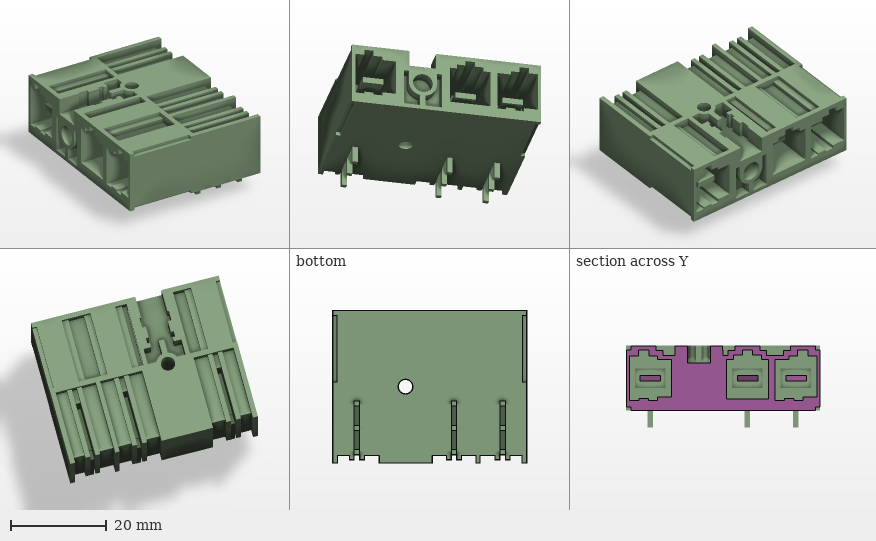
import cadquery as cq


WIDTH = 40.65
DEPTH = 32.0
HEIGHT = 13.57

PITCH = 10.15
FIRST_CENTRE = PITCH / 2
CLIP_X = FIRST_CENTRE + PITCH
CONTACT_CENTRES = [FIRST_CENTRE + PITCH * n for n in (0, 2, 3)]

SHELL_BACK = 14.95
CAVITY_HALF = 4.35
KEY_ROOF = 12.65
LOW_ROOF = 10.65
OUTER_KEY_ROOF = [
    (-CAVITY_HALF, -2.45, 11.4), (-2.45, -0.4, KEY_ROOF), (-0.4, 1.42, 11.4), (1.42, CAVITY_HALF, LOW_ROOF),
]
OUTER_KEY_FLOOR = [
    (-CAVITY_HALF, -2.45, 2.15), (-2.45, -0.4, 2.6), (-0.4, 1.42, 2.15), (1.42, CAVITY_HALF, 2.93),
]
MIDDLE_KEY_ROOF = [
    (-CAVITY_HALF, -2.85, LOW_ROOF), (-2.85, -0.98, 11.6), (-0.98, 0.98, KEY_ROOF),
    (0.98, 2.85, 11.6), (2.85, CAVITY_HALF, LOW_ROOF),
]
MIDDLE_FLOOR = [(-CAVITY_HALF, CAVITY_HALF, 2.48)]

BLADE_RECESS_WIDTH = 6.45
BLADE_RECESS_BOTTOM = 4.75
BLADE_RECESS_TOP = 8.78

FRONT_WALL = 1.05
POCKET_LEDGE_DEPTH = 0.9
POCKET_DEPTH = 1.9
POCKETS = [(6.3, 10.2, 7.72, 10.2), (20.25, 22.7, 20.25, 21.3), (28.1, 34.3, 29.45, 32.88)]
LEDGE_WIDTH = 0.95
LEDGE_DEPTH = 0.77

LIP_WIDTH = 0.12
LIP_FRONT = 2.4

BRIDGE_BACK = 16.05
BAY_BACK = 30.4
BAY_FLOOR = 11.95
BAYS = [(1.05, 9.7), (20.85, 29.95), (30.9, 39.6)]
RIB_BACK = 31.3
RIB_TOP = 12.92
RIB_OUTER_HALF = 1.6
SLOT_WIDTH = 1.15
SLOT_SILL = 11.75

CLIP_FLOOR = 10.05
CLIP_STEPS = [(2.85, 4.8), (3.15, 6.9), (2.4, 9.4), (3.0, 10.6), (2.48, 11.55), (4.1, SHELL_BACK)]
BOSS_Y = 15.97
BOSS_RADIUS = 2.45
BOSS_HOLE_RADIUS = 1.5
WEB_WIDTH = 1.18
TAB_FRONT = 10.6

BORE_Z = 6.2
BORE_RADIUS = 2.1
BORE_DEPTH = 2.65
RING_RADIUS = 3.0
RELIEF_HALF = 4.1
RELIEF_BOTTOM = 0.9
RELIEF_TOP = 8.78
RELIEF_DEPTH = 2.3

BLADE_WIDTH = 4.4
BLADE_BOTTOM = 6.15
BLADE_TOP = 7.4
BLADE_FRONTS = [2.3, 4.3, 4.3]
PLATE_FRONT = 18.98
PLATE_BACK = 30.25
PLATE_STEP_Y = 28.25
PLATE_STEP_DEPTH = 0.4
TAIL_LENGTH = 3.55
TAIL_DEPTH = 1.05
TAIL_COUNT = 3
TAIL_PITCH = (PLATE_BACK - PLATE_FRONT - TAIL_DEPTH) / (TAIL_COUNT - 1)


def block(x0, x1, y0, y1, z0, z1):
    """Rectangular block between two opposite corners."""
    return cq.Workplane("XY").box(x1 - x0, y1 - y0, z1 - z0, centered=False).translate((x0, y0, z0))


def cylinder_y(radius, depth):
    """Cylinder on the bore axis, running back from the front face."""
    return cq.Workplane("XZ", origin=(CLIP_X, 0, BORE_Z)).circle(radius).extrude(-depth)


def mirrored(steps):
    """Steps of a cavity roof or floor, swapped left for right."""
    return [(-right, -left, level) for left, right, level in reversed(steps)]


def cavity(centre, roof, floor):
    """Keyed plug cavity, open at the front, with a recess around the blade in its back wall."""
    outline = []
    for left, right, level in roof:
        outline += [(centre + left, level), (centre + right, level)]
    for left, right, level in reversed(floor):
        outline += [(centre + right, level), (centre + left, level)]
    plug_space = cq.Workplane("XZ").polyline(outline).close().extrude(-SHELL_BACK)
    half = BLADE_RECESS_WIDTH / 2
    recess = block(
        centre - half, centre + half, 0, BRIDGE_BACK, BLADE_RECESS_BOTTOM, BLADE_RECESS_TOP
    )
    return plug_space.union(recess)


def cut_cavities(housing):
    first, middle, last = CONTACT_CENTRES
    housing = housing.cut(cavity(first, OUTER_KEY_ROOF, OUTER_KEY_FLOOR))
    housing = housing.cut(cavity(middle, MIDDLE_KEY_ROOF, MIDDLE_FLOOR))
    return housing.cut(cavity(last, mirrored(OUTER_KEY_ROOF), OUTER_KEY_FLOOR))


def cut_top_pockets(housing):
    """Stepped pockets between the cavities: a shallow ledge and a deeper part."""
    deep_floor = HEIGHT - POCKET_DEPTH
    ledge = HEIGHT - POCKET_LEDGE_DEPTH
    for left, right, deep_left, deep_right in POCKETS:
        housing = housing.cut(block(left, right, FRONT_WALL, SHELL_BACK, ledge, HEIGHT))
        housing = housing.cut(block(deep_left, deep_right, FRONT_WALL, SHELL_BACK, deep_floor, HEIGHT))
    lip_left = POCKETS[1][0]
    lip = block(lip_left, lip_left + LIP_WIDTH, LIP_FRONT, SHELL_BACK, deep_floor, ledge)
    return housing.union(lip)


def cut_side_ledges(housing):
    """Steps along the upper and lower edges of both sides."""
    for left in (0, WIDTH - LEDGE_WIDTH):
        for bottom in (0, HEIGHT - LEDGE_DEPTH):
            housing = housing.cut(
                block(left, left + LEDGE_WIDTH, FRONT_WALL, SHELL_BACK, bottom, bottom + LEDGE_DEPTH)
            )
    return housing


def cut_rear_bays(housing):
    """Open bays at the back, each with two ribs and the slot that takes a contact."""
    half_slot = SLOT_WIDTH / 2
    for centre, (left, right) in zip(CONTACT_CENTRES, BAYS):
        housing = housing.cut(block(left, right, BRIDGE_BACK, DEPTH, BAY_FLOOR, HEIGHT))
        housing = housing.cut(block(left, right, BAY_BACK, DEPTH, 0, HEIGHT))
        ribs = block(
            centre - RIB_OUTER_HALF, centre + RIB_OUTER_HALF, BRIDGE_BACK, RIB_BACK, 0, RIB_TOP
        )
        housing = housing.union(ribs)
        housing = housing.cut(
            block(centre - half_slot, centre + half_slot, BRIDGE_BACK, PLATE_FRONT, SLOT_SILL, HEIGHT)
        )
        housing = housing.cut(block(centre - half_slot, centre + half_slot, PLATE_FRONT, RIB_BACK, 0, HEIGHT))
        half_blade = BLADE_WIDTH / 2
        housing = housing.cut(
            block(centre - half_blade, centre + half_blade, SHELL_BACK, PLATE_FRONT, BLADE_BOTTOM, BLADE_TOP)
        )
    return housing


def cut_screw_clip(housing):
    """Stepped recess in the top face, leaving the pierced boss and its tab."""
    recess_front = 0
    for half, recess_back in CLIP_STEPS:
        housing = housing.cut(
            block(CLIP_X - half, CLIP_X + half, recess_front, recess_back, CLIP_FLOOR, HEIGHT)
        )
        recess_front = recess_back
    boss_base = cq.Workplane("XY", origin=(CLIP_X, BOSS_Y, CLIP_FLOOR))
    housing = housing.union(boss_base.circle(BOSS_RADIUS).extrude(HEIGHT - CLIP_FLOOR))
    half_tab = WEB_WIDTH / 2
    tab = block(CLIP_X - half_tab, CLIP_X + half_tab, TAB_FRONT, BOSS_Y, CLIP_FLOOR, HEIGHT)
    hole = cq.Workplane("XY", origin=(CLIP_X, BOSS_Y, 0)).circle(BOSS_HOLE_RADIUS).extrude(HEIGHT)
    return housing.union(tab).cut(hole)


def cut_screw_bore(housing):
    """Relief in the front face around a ring that stands on a web, and the blind bore in the ring."""
    relief = block(
        CLIP_X - RELIEF_HALF, CLIP_X + RELIEF_HALF, 0, RELIEF_DEPTH, RELIEF_BOTTOM, RELIEF_TOP
    )
    ring = cylinder_y(RING_RADIUS, RELIEF_DEPTH)
    shoulders = block(CLIP_X - RING_RADIUS, CLIP_X + RING_RADIUS, 0, RELIEF_DEPTH, BORE_Z, RELIEF_TOP)
    half_web = WEB_WIDTH / 2
    web = block(CLIP_X - half_web, CLIP_X + half_web, 0, RELIEF_DEPTH, RELIEF_BOTTOM, BORE_Z)
    relief = relief.cut(ring).cut(shoulders).cut(web)
    return housing.cut(relief).cut(cylinder_y(BORE_RADIUS, BORE_DEPTH))


def make_housing():
    housing = block(0, WIDTH, 0, DEPTH, 0, HEIGHT)
    housing = cut_cavities(housing)
    housing = cut_top_pockets(housing)
    housing = cut_side_ledges(housing)
    housing = cut_rear_bays(housing)
    housing = cut_screw_clip(housing)
    return cut_screw_bore(housing)


def make_contact(centre, blade_front):
    """Flat blade, upright plate behind it and solder tails below the plate."""
    half_blade = BLADE_WIDTH / 2
    half_plate = SLOT_WIDTH / 2
    left = centre - half_plate
    right = centre + half_plate
    contact = block(
        centre - half_blade, centre + half_blade, blade_front, PLATE_FRONT, BLADE_BOTTOM, BLADE_TOP
    )
    contact = contact.union(block(left, right, PLATE_FRONT, PLATE_STEP_Y, BLADE_BOTTOM, BLADE_TOP))
    step_top = BLADE_TOP - PLATE_STEP_DEPTH
    contact = contact.union(block(left, right, PLATE_STEP_Y, PLATE_BACK, BLADE_BOTTOM, step_top))
    for n in range(TAIL_COUNT):
        tail_front = PLATE_FRONT + n * TAIL_PITCH
        contact = contact.union(
            block(left, right, tail_front, tail_front + TAIL_DEPTH, -TAIL_LENGTH, BLADE_BOTTOM)
        )
    return contact


housing = make_housing()
contacts = [make_contact(centre, front) for centre, front in zip(CONTACT_CENTRES, BLADE_FRONTS)]

result = cq.Compound.makeCompound([housing.val(), *[contact.val() for contact in contacts]])